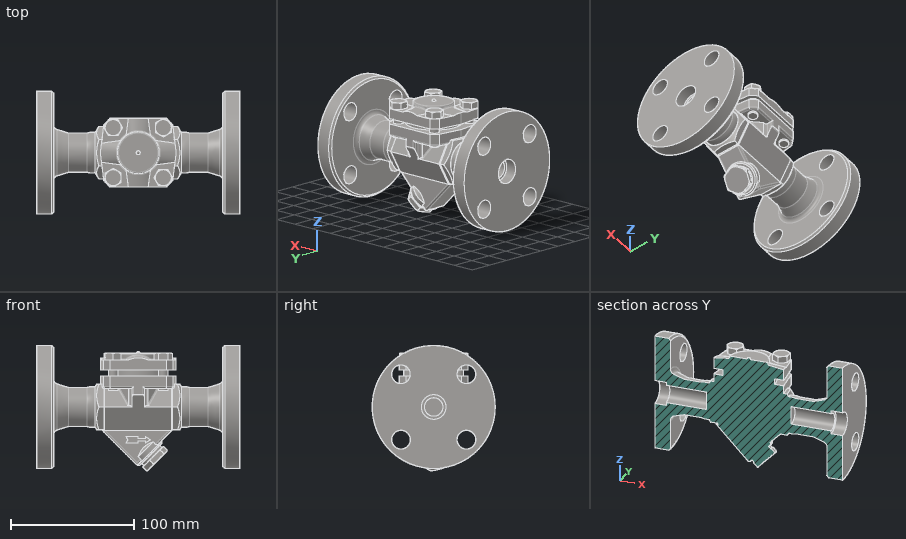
import cadquery as cq
import math

length = 165.0
half_length = length / 2

flange_dia = 100.0
flange_thickness = 14.0
flange_chamfer = 1.8
flange_hole_dia = 15.0
flange_bolt_circle = 75.0
flange_hole_count = 4
hub_root_radius = 45.8 / 2
hub_radius = 18.9
hub_fillet_length = 2.7
hub_fillet_mid = (0.6, 20.4)
neck_radius = 32.0 / 2
neck_start = 56.6
bead_start = 41.5
bead_radius = 16.7
bead_end_radius = 16.4
socket_dia = 20.0
socket_depth = 10.0
bore_dia = 15.0
bore_depth = 45.0

hex_flats = 37.0
hex_half_length = 35.0
hex_nose_radius = 16.6
hex_chamfer_angle = 33.0
waist_flats = 38.4
waist_half_length = 27.9
waist_chamfer_length = 0.9
waist_chamfer_height = (waist_flats - hex_flats) / 2

plate_half_x = 30.75
corner_x = 28.0
corner_y = 22.5
plate_half_y = 28.0
front_edge_half = 22.9
lower_plate_bottom = 15.0
lower_plate_top = 25.3
lower_plate_fillet = 1.6
gasket_dia = 45.8
cover_bottom = 29.8
cover_top = 38.2
disc_dia = 34.0
disc_top_dia = 32.0
disc_top = 43.6
disc_edge_fillet = (disc_dia - disc_top_dia) / 2
disc_root_fillet = 0.9
pin_dia = 3.3
pin_top = 45.0

rib_inner_distance = 12.0
rib_inner_half_width = 10.2
rib_inner_height = 4.0
rib_outer_distance = plate_half_x
rib_outer_half_width = 7.6
rib_outer_height = 1.3

bolt_spacing = 40.6
bolt_dia = 8.0
bolt_head_flats = 13.0
bolt_head_top = 43.8
bolt_head_chamfer = 0.5
bolt_end = 13.4

post_front_half_width = 5.0
post_edge_fillet = 1.3
post_step_half_width = 8.0
post_step_y = 21.4
post_root_half_width = 18.5
post_root_y = 10.5
post_step_fillet = 2.0
post_root_fillet = 1.2
post_top = 17.0
post_lip_chamfer = 0.5

strainer_left = 29.0
strainer_right = 27.2
strainer_fillet = 1.7

plug_axis_offset = 20.0
plug_boss_radius = 14.0
plug_boss_inner_radius = 9.0
plug_boss_cone_start = 24.7
plug_boss_start = 28.5
plug_boss_end = 34.4
plug_boss_chamfer = 1.2
plug_collar_dia = 21.0
plug_head_start = 37.0
plug_head_end = 42.0
plug_head_flats = 21.0
plug_head_turn = -10.7
plug_head_chamfer = 0.6

arrow_left = -9.9
arrow_neck = -0.2
arrow_head = 5.8
arrow_tip = 9.8
arrow_z = -26.6
arrow_half_tail = 2.6
arrow_half_shaft = 0.9
arrow_notch = 1.4
arrow_height = 0.5


def across_corners(flats):
    return flats / math.cos(math.pi / 6)


def hex_prism_x(flats, half_length):
    """Hexagonal prism along X with flat faces at the top and bottom."""
    return (
        cq.Workplane("YZ", origin=(-half_length, 0, 0))
        .polygon(6, across_corners(flats))
        .extrude(2 * half_length)
    )


def cylinder_z(diameter, bottom, top):
    return cq.Workplane("XY", origin=(0, 0, bottom)).circle(diameter / 2).extrude(top - bottom)


def both_ends(end):
    return end.union(end.mirror("YZ"))


def make_end():
    """Flange, tapered hub, neck and weld bead at the +X end."""
    back = half_length - flange_thickness
    hub_end = back - hub_fillet_length
    flange_radius = flange_dia / 2
    end = (
        cq.Workplane("XY")
        .moveTo(half_length, 0)
        .lineTo(half_length, flange_radius)
        .lineTo(back + flange_chamfer, flange_radius)
        .lineTo(back, flange_radius - flange_chamfer)
        .lineTo(back, hub_root_radius)
        .threePointArc((back - hub_fillet_mid[0], hub_fillet_mid[1]), (hub_end, hub_radius))
        .lineTo(neck_start, neck_radius)
        .lineTo(bead_start, neck_radius)
        .threePointArc(((bead_start + hex_half_length) / 2, bead_radius), (hex_half_length, bead_end_radius))
        .lineTo(hex_half_length, 0)
        .close()
        .revolve(360, (0, 0, 0), (1, 0, 0))
    )
    holes = (
        cq.Workplane("YZ", origin=(back, 0, 0))
        .polarArray(flange_bolt_circle / 2, 45, 360, flange_hole_count)
        .circle(flange_hole_dia / 2)
        .extrude(flange_thickness)
    )
    return end.cut(holes)


def make_bore():
    """Stepped blind bore entering from the +X end."""
    socket = cq.Workplane("YZ", origin=(half_length, 0, 0)).circle(socket_dia / 2).extrude(-socket_depth)
    bore = cq.Workplane("YZ", origin=(half_length, 0, 0)).circle(bore_dia / 2).extrude(-bore_depth)
    return socket.union(bore)


def make_hex_body():
    """Hexagon with coned ends and a slightly larger waist."""
    corner_radius = across_corners(hex_flats) / 2
    cone_length = (corner_radius - hex_nose_radius) * math.tan(math.radians(hex_chamfer_angle))
    envelope = (
        cq.Workplane("XY")
        .moveTo(-hex_half_length, 0)
        .lineTo(-hex_half_length, hex_nose_radius)
        .lineTo(-hex_half_length + cone_length, corner_radius)
        .lineTo(hex_half_length - cone_length, corner_radius)
        .lineTo(hex_half_length, hex_nose_radius)
        .lineTo(hex_half_length, 0)
        .close()
        .revolve(360, (0, 0, 0), (1, 0, 0))
    )
    ends = hex_prism_x(hex_flats, hex_half_length).intersect(envelope)
    waist = hex_prism_x(waist_flats, waist_half_length)
    waist = waist.faces("<X").chamfer(waist_chamfer_height, waist_chamfer_length)
    waist = waist.faces(">X").chamfer(waist_chamfer_height, waist_chamfer_length)
    return ends.union(waist)


def make_post():
    """Front post; its underside continues the lower front face of the hexagon up to the plate."""
    post = (
        cq.Workplane("XY")
        .moveTo(-post_root_half_width, -post_root_y)
        .lineTo(-post_step_half_width, -post_step_y)
        .lineTo(-post_front_half_width, -post_step_y)
        .lineTo(-post_front_half_width, -plate_half_y)
        .lineTo(post_front_half_width, -plate_half_y)
        .lineTo(post_front_half_width, -post_step_y)
        .lineTo(post_step_half_width, -post_step_y)
        .lineTo(post_root_half_width, -post_root_y)
        .close()
        .extrude(post_top)
    )
    hex_corner_y = across_corners(waist_flats) / 2
    lip_y = plate_half_y - post_lip_chamfer
    slope_top = (lip_y - hex_corner_y) * math.tan(math.pi / 3)
    lip_top = slope_top + 2 * post_lip_chamfer
    underside = (
        cq.Workplane("YZ", origin=(-post_front_half_width, 0, 0))
        .moveTo(-hex_corner_y, 0)
        .lineTo(-lip_y, slope_top)
        .lineTo(-plate_half_y, lip_top)
        .lineTo(-plate_half_y, 0)
        .close()
        .extrude(2 * post_front_half_width)
    )
    step_corners = cq.selectors.BoxSelector(
        (-post_front_half_width - 1, -post_step_y - 1, 0),
        (post_front_half_width + 1, -post_step_y + 1, post_top),
    )
    post = post.edges("|Z").edges(step_corners).fillet(post_step_fillet)
    post = post.edges("|Z and <Y").fillet(post_edge_fillet)
    return post.cut(underside)


def make_body():
    """Hexagonal body with both posts, rounded where their flared sides meet the upper hexagon faces."""
    post = make_post()
    body = make_hex_body().union(post).union(post.mirror("XZ"))
    for side_x in (-1, 1):
        for side_y in (-1, 1):
            middle = (
                side_x * (post_root_half_width + post_step_half_width) / 2,
                side_y * (post_root_y + post_step_y) / 2,
                post_top / 2,
            )
            body = body.edges(cq.selectors.NearestToPointSelector(middle)).fillet(post_root_fillet)
    return body


def make_plate(bottom, top):
    """Plate with cut corners and slightly pointed left and right sides."""
    return (
        cq.Workplane("XY", origin=(0, 0, bottom))
        .moveTo(plate_half_x, 0)
        .lineTo(corner_x, corner_y)
        .lineTo(front_edge_half, plate_half_y)
        .lineTo(-front_edge_half, plate_half_y)
        .lineTo(-corner_x, corner_y)
        .lineTo(-plate_half_x, 0)
        .lineTo(-corner_x, -corner_y)
        .lineTo(-front_edge_half, -plate_half_y)
        .lineTo(front_edge_half, -plate_half_y)
        .lineTo(corner_x, -corner_y)
        .close()
        .extrude(top - bottom)
    )


def make_rib():
    """Tapered arched rib running from the disc towards +X on top of the cover."""
    run = rib_outer_distance - rib_inner_distance
    return (
        cq.Workplane("YZ", origin=(rib_inner_distance, 0, cover_top))
        .moveTo(-rib_inner_half_width, 0)
        .threePointArc((0, rib_inner_height), (rib_inner_half_width, 0))
        .close()
        .workplane(offset=run)
        .moveTo(-rib_outer_half_width, 0)
        .threePointArc((0, rib_outer_height), (rib_outer_half_width, 0))
        .close()
        .loft(ruled=True)
    )


def make_cover():
    """Cover plate with four ribs around a round-edged disc and its small domed pin."""
    side_rib = make_rib()
    front_rib = side_rib.rotate((0, 0, 0), (0, 0, 1), -90)
    ribs = side_rib.union(side_rib.mirror("YZ")).union(front_rib).union(front_rib.mirror("XZ"))
    ribs = ribs.intersect(make_plate(cover_top, disc_top))
    disc = cylinder_z(disc_dia, cover_bottom, disc_top).faces(">Z").edges().fillet(disc_edge_fillet)
    cover = make_plate(cover_bottom, cover_top).union(ribs).union(disc)

    reach = disc_dia / 2 + 0.1
    disc_root = cq.selectors.BoxSelector(
        (-reach, -reach, cover_top - 0.1),
        (reach, reach, disc_top - disc_edge_fillet - 0.1),
        boundingbox=True,
    )
    cover = cover.edges(disc_root).fillet(disc_root_fillet)

    pin_radius = pin_dia / 2
    pin = cq.Workplane("XY", origin=(0, 0, pin_top - pin_radius)).sphere(pin_radius)
    return cover.union(pin)


def hex_head(flats, height, chamfer):
    """Hexagon head on the XY plane with its upper corners turned off."""
    corner_radius = across_corners(flats) / 2
    blank = cq.Workplane("XY").circle(corner_radius).extrude(height).faces(">Z").chamfer(chamfer, 2 * chamfer)
    return cq.Workplane("XY").polygon(6, 2 * corner_radius).extrude(height).intersect(blank)


def make_bolts():
    """Four cover bolts; neighbouring heads are turned by 30 degrees."""
    offset = bolt_spacing / 2
    bolts = cq.Workplane("XY")
    for side_x in (-1, 1):
        for side_y in (-1, 1):
            turn = 0 if side_x != side_y else 30
            head = hex_head(bolt_head_flats, bolt_head_top - cover_top, bolt_head_chamfer)
            head = head.rotate((0, 0, 0), (0, 0, 1), turn).translate((0, 0, cover_top))
            bolt = head.union(cylinder_z(bolt_dia, bolt_end, cover_top))
            bolts = bolts.union(bolt.translate((side_x * offset, side_y * offset, 0)))
    return bolts


def make_strainer():
    """V-shaped housing as wide as the bottom flat of the hexagon."""
    top = -waist_flats / 2
    half_width = -top * math.tan(math.pi / 6)
    tip_x = (strainer_right - strainer_left) / 2
    tip_z = top - (strainer_right + strainer_left) / 2
    return (
        cq.Workplane("XZ", origin=(0, half_width, 0))
        .moveTo(-strainer_left, top)
        .lineTo(tip_x, tip_z)
        .lineTo(strainer_right, top)
        .close()
        .extrude(2 * half_width)
        .edges("|Y and <Z")
        .fillet(strainer_fillet)
        .faces("<Z or (not (>Z or >Y or <Y))")
        .edges("not >Z")
        .edges(">Y or <Y")
        .fillet(strainer_fillet * 0.9)
    )


def make_plug():
    """Boss, collar and hexagon head of the strainer plug, turned about its inclined axis."""
    turned = (
        cq.Workplane("XZ")
        .moveTo(0, plug_boss_cone_start)
        .lineTo(plug_boss_inner_radius, plug_boss_cone_start)
        .lineTo(plug_boss_radius, plug_boss_start)
        .lineTo(plug_boss_radius, plug_boss_end - plug_boss_chamfer)
        .lineTo(plug_boss_radius - plug_boss_chamfer, plug_boss_end)
        .lineTo(plug_collar_dia / 2, plug_boss_end)
        .lineTo(plug_collar_dia / 2, plug_head_start)
        .lineTo(0, plug_head_start)
        .close()
        .revolve(360, (0, 0, 0), (0, 1, 0))
    )
    head = hex_head(plug_head_flats, plug_head_end - plug_head_start, plug_head_chamfer)
    head = head.rotate((0, 0, 0), (0, 0, 1), plug_head_turn).translate((0, 0, plug_head_start))
    plug = turned.union(head).translate((plug_axis_offset, 0, 0))
    return plug.rotate((0, 0, 0), (0, 1, 0), 135)


def make_arrow():
    """Raised flow arrow pointing to +X on the front face of the strainer housing."""
    face_y = -waist_flats / 2 * math.tan(math.pi / 6)
    return (
        cq.Workplane("XZ", origin=(0, face_y, arrow_z))
        .moveTo(arrow_left, arrow_half_tail)
        .lineTo(arrow_neck, arrow_half_tail)
        .lineTo(arrow_neck, arrow_half_shaft)
        .lineTo(arrow_head, arrow_half_shaft)
        .lineTo(arrow_head, arrow_half_tail)
        .lineTo(arrow_tip, 0)
        .lineTo(arrow_head, -arrow_half_tail)
        .lineTo(arrow_head, -arrow_half_shaft)
        .lineTo(arrow_neck, -arrow_half_shaft)
        .lineTo(arrow_neck, -arrow_half_tail)
        .lineTo(arrow_left, -arrow_half_tail)
        .lineTo(arrow_left + arrow_notch, 0)
        .close()
        .extrude(arrow_height)
    )


lower_plate = make_plate(lower_plate_bottom, lower_plate_top).faces("<Z").edges().fillet(lower_plate_fillet)

result = make_body()
result = result.union(both_ends(make_end()))
result = result.union(lower_plate)
result = result.union(cylinder_z(gasket_dia, lower_plate_top, cover_bottom))
result = result.union(make_cover())
result = result.union(make_bolts())
result = result.union(make_strainer())
result = result.union(make_plug())
result = result.union(make_arrow())
result = result.cut(both_ends(make_bore()))